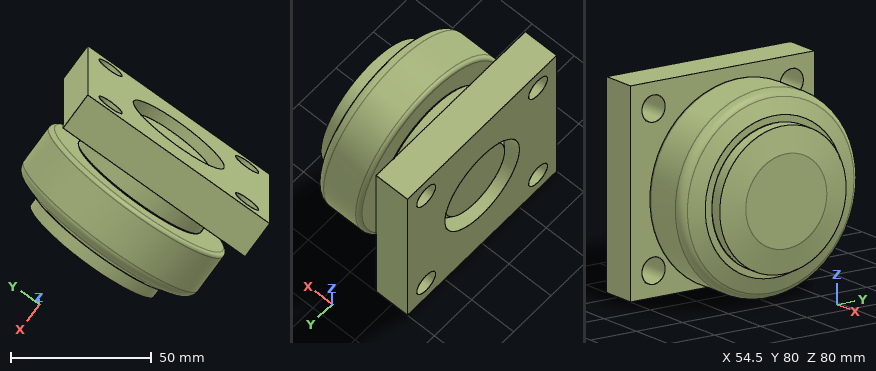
import cadquery as cq
import math

plate_side = 80.0
plate_thickness = 15.0
bolt_spacing = 60.0
bolt_hole_radius = 5.0

spigot_radius = 20.0
spigot_recess = 3.5
spigot_chamfer = 4.0

collar_radius = 27.0
collar_chamfer = 0.5

rim_radius = 38.8
rim_start = 24.2
rim_end = 47.0
rim_back_fillet = 1.6
rim_front_fillet = 4.0
rim_front_start = 41.0
rim_cone_angle = math.radians(70)

hub_radius = 27.4
hub_chamfer = 0.4
hub_cone_start = 52.4
hub_end = 54.5
hub_end_radius = 17.6


def make_plate():
    """Square plate with a central bore and four bolt holes."""
    blank = cq.Workplane("YZ").rect(plate_side, plate_side).extrude(plate_thickness)
    bore = cq.Workplane("YZ").circle(spigot_radius).extrude(plate_thickness)
    bolt_holes = (
        cq.Workplane("YZ")
        .rect(bolt_spacing, bolt_spacing, forConstruction=True)
        .vertices()
        .circle(bolt_hole_radius)
        .extrude(plate_thickness)
    )
    return blank.cut(bore).cut(bolt_holes)


def rim_arc_point(angle):
    """Point on the front rim rounding after turning by angle from the axis direction."""
    return (
        rim_front_start + rim_front_fillet * math.sin(angle),
        rim_radius - rim_front_fillet * (1 - math.cos(angle)),
    )


def make_roller():
    """Spigot, collar, rim and hub, turned about the X axis."""
    back_arc_middle = rim_back_fillet * (1 - math.cos(math.pi / 4))
    cone_start_x, cone_start_radius = rim_arc_point(rim_cone_angle)
    cone_drop = (rim_end - cone_start_x) * math.tan(rim_cone_angle)

    profile = (
        cq.Workplane("XY")
        .moveTo(spigot_recess, 0)
        .lineTo(spigot_recess, spigot_radius - spigot_chamfer)
        .lineTo(spigot_recess + spigot_chamfer, spigot_radius)
        .lineTo(plate_thickness, spigot_radius)
        .lineTo(plate_thickness, collar_radius - collar_chamfer)
        .lineTo(plate_thickness + collar_chamfer, collar_radius)
        .lineTo(rim_start - collar_chamfer, collar_radius)
        .lineTo(rim_start, collar_radius - collar_chamfer)
        .lineTo(rim_start, rim_radius - rim_back_fillet)
        .threePointArc(
            (rim_start + back_arc_middle, rim_radius - back_arc_middle),
            (rim_start + rim_back_fillet, rim_radius),
        )
        .lineTo(rim_front_start, rim_radius)
        .threePointArc(rim_arc_point(rim_cone_angle / 2), (cone_start_x, cone_start_radius))
        .lineTo(rim_end, cone_start_radius - cone_drop)
        .lineTo(rim_end, hub_radius - hub_chamfer)
        .lineTo(rim_end + hub_chamfer, hub_radius)
        .lineTo(hub_cone_start, hub_radius)
        .lineTo(hub_end, hub_end_radius)
        .lineTo(hub_end, 0)
        .close()
    )
    return profile.revolve(360, (0, 0), (1, 0))


plate = make_plate()
roller = make_roller()

result = cq.Compound.makeCompound([plate.val(), roller.val()])